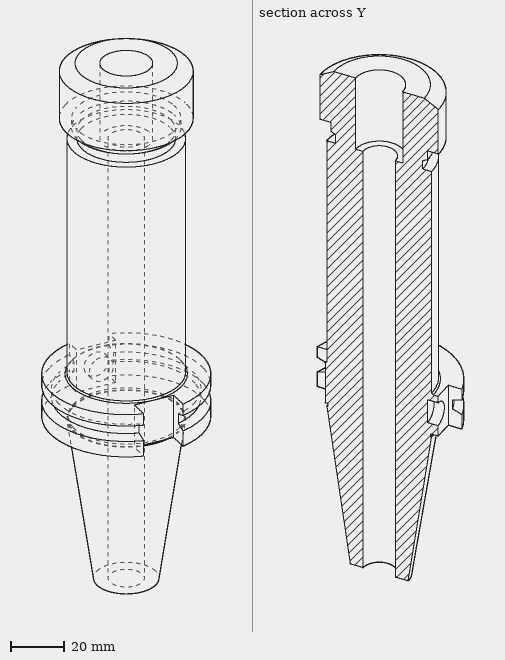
import cadquery as cq

overall_length = 220.6

taper_length = 68.5
taper_ratio = 7 / 24
taper_large_radius = 22.3
taper_small_radius = taper_large_radius - taper_length * taper_ratio / 2
relief_radius = 21.8

flange_radius = 31.8
flange_bottom = 69.5
flange_top = 87.5
groove_radius = 28.0
groove_lower_edge = 76.1
groove_upper_edge = 82.7
groove_flank_height = 1.3

body_radius = 22.3
foot_radius = 23.0
foot_height = 0.7
body_top = 188.5

neck_radius = 18.5
collar_radius = 20.5
collar_bottom = 193.0
collar_cone_height = 1.0
nut_radius = 25.2
nut_bottom = 197.0
nut_face_radius = 19.2
nut_chamfer_height = 3.3

through_bore_radius = 6.8
collet_bore_radius = 10.0

slot_width = 16.5
slot_floor_left = 25.0
slot_floor_right = 23.0
slot_hole_diameter = 10.1
slot_hole_height = 79.5
slot_hole_depth = 4.5


def make_turned_body():
    """Revolve the half profile, listed as (radius, height) from the taper end up."""
    profile = [
        (0, 0),
        (taper_small_radius, 0),
        (taper_large_radius, taper_length),
        (relief_radius, taper_length),
        (relief_radius, flange_bottom),
        (flange_radius, flange_bottom),
        (flange_radius, groove_lower_edge),
        (groove_radius, groove_lower_edge + groove_flank_height),
        (groove_radius, groove_upper_edge - groove_flank_height),
        (flange_radius, groove_upper_edge),
        (flange_radius, flange_top),
        (foot_radius, flange_top),
        (body_radius, flange_top + foot_height),
        (body_radius, body_top),
        (neck_radius, body_top),
        (neck_radius, collar_bottom - collar_cone_height),
        (collar_radius, collar_bottom),
        (collar_radius, nut_bottom),
        (nut_radius, nut_bottom),
        (nut_radius, overall_length - nut_chamfer_height),
        (nut_face_radius, overall_length),
        (0, overall_length),
    ]
    return cq.Workplane("XZ").polyline(profile).close().revolve(360, (0, 0), (0, 1))


def make_bore():
    through_bore = cq.Workplane("XY").circle(through_bore_radius).extrude(overall_length)
    collet_bore = (
        cq.Workplane("XY", origin=(0, 0, body_top))
        .circle(collet_bore_radius)
        .extrude(overall_length - body_top)
    )
    return through_bore.union(collet_bore)


def make_slot(side, floor_distance):
    """Block that opens the flange on one side; side is -1 for -X and 1 for +X."""
    slot_depth = flange_radius - floor_distance
    center_x = side * (floor_distance + slot_depth / 2)
    slot_height = flange_top - flange_bottom
    center_z = flange_bottom + slot_height / 2
    return (
        cq.Workplane("XY")
        .box(slot_depth, slot_width, slot_height)
        .translate((center_x, 0, center_z))
    )


def make_slot_hole():
    return (
        cq.Workplane("YZ", origin=(-slot_floor_left, 0, slot_hole_height))
        .circle(slot_hole_diameter / 2)
        .extrude(slot_hole_depth)
    )


result = (
    make_turned_body()
    .cut(make_bore())
    .cut(make_slot(-1, slot_floor_left))
    .cut(make_slot(1, slot_floor_right))
    .cut(make_slot_hole())
)